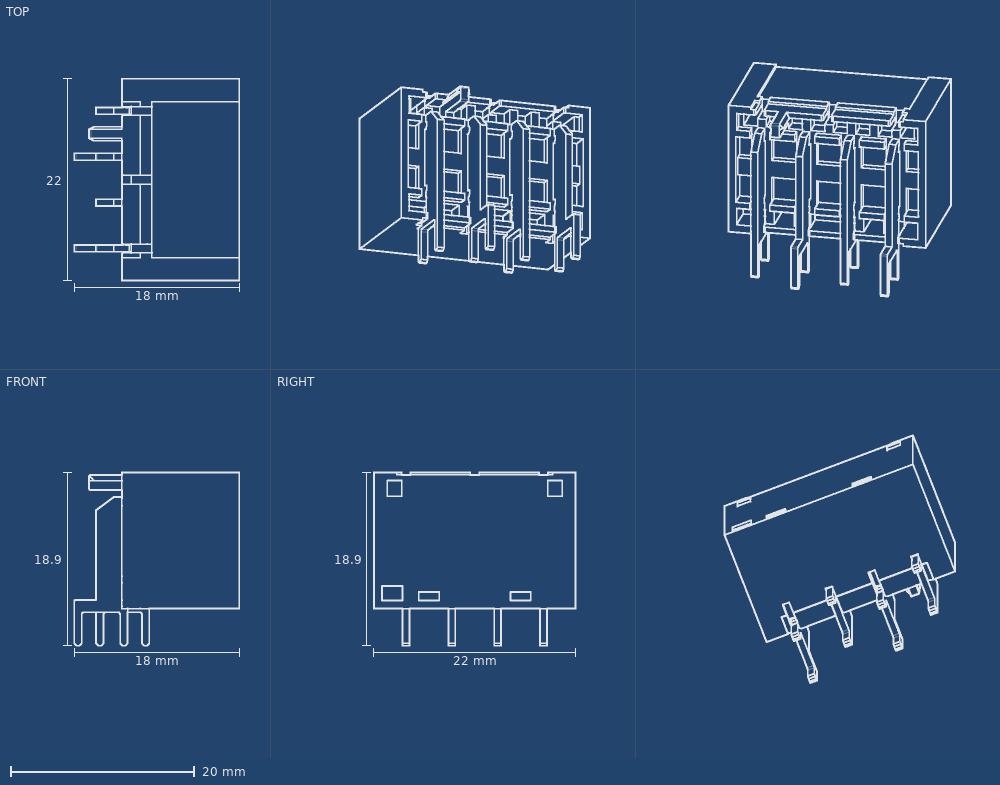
import cadquery as cq

HOUSING_LENGTH = 12.8
HOUSING_WIDTH = 22.0
HOUSING_HEIGHT = 14.85

STEP_HALF_WIDTH = 8.5
STEP_DEPTH = 0.26
TAB_LENGTH = 2.0
BAND_END = 3.28

WALL = 0.9
CORE_FACE = 1.01
CAVITY_HALF_WIDTH = 10.1
CAVITY_TOP = HOUSING_HEIGHT - WALL
SIDE_RELIEF = 0.09

PIN_PITCH = 5.0
PIN_COUNT = 4
CELL_PITCH = PIN_PITCH / 2
POST_WIDTH = 0.95
CELL_WIDTH = CELL_PITCH - POST_WIDTH
CELL_FLOOR = 12.28
CELL_DEPTH = 1.75
CELL_COUNT = 8

SLOT_FLOOR = 13.13
MOUTH_WIDTH = 0.2
MOUTH_DEPTH = 0.1

BAR_TOP = 12.01
BAR_BOTTOM = 2.82
BAR_WIDTH = 2.77
UPPER_POCKET = (8.38, 11.22)
LOWER_POCKET = (3.55, 6.38)
POCKET_DEPTH = 0.92
CORNER_BAR_INNER = 8.6

OPENING_TOP = 2.46
WINDOW_TOP = 1.8
WINDOW_WIDTH = 2.2
CENTRE_OPENING_WIDTH = 4.11

KEY_Y = 2 * CELL_PITCH
KEY_TIP = -3.59
KEY_BOTTOM = 12.91
KEY_WING_BOTTOM = 13.93
KEY_WING_WIDTH = 1.56
KEY_TIP_TAPER = 0.55
KEY_TIP_RADIUS = 0.22

PIN_THICKNESS = 0.77
PIN_FRONT = -2.82
PIN_REAR = 0.8
HEEL_X = 0.6
HEEL_TOP = 3.12
HEEL_BOTTOM = 2.77
PIN_TOP = 12.19
SLOPE_START_Z = 10.74
SLOPE_END_X = -0.85
FOOT_TOP = 0.97
FOOT_BOTTOM = -0.4
LEG_WIDTH = 0.84
LEG_BOTTOM = -4.05
LEG_SPAN = 5.83
LONG_FOOT_FRONT = -5.2
TIP_CHAMFER = 0.26
CROTCH_RADIUS = 0.22
FOOT_CORNER_RADIUS = 0.15
SLOPE_CORNER_RADIUS = 0.22
BLADE_BOTTOM = 4.25
BLADE_TOP = 10.65
BLADE_END = BAND_END
RELIEF_RADIUS = 0.42
RELIEF_X = 0.85
BLADE_CLEARANCE = 0.07

PIN_YS = [(i - (PIN_COUNT - 1) / 2) * PIN_PITCH for i in range(PIN_COUNT)]
BLOCK_YS = [-PIN_PITCH, 0, PIN_PITCH]


def block(x, y, z):
    """Axis-aligned box between the (low, high) limits on each axis."""
    return (
        cq.Workplane("XY")
        .box(x[1] - x[0], y[1] - y[0], z[1] - z[0], centered=False)
        .translate((x[0], y[0], z[0]))
    )


def around(centre, width):
    """Low and high limits of a span given by its centre and width."""
    return (centre - width / 2, centre + width / 2)


def slot_cutter(y, width, z):
    """Slot from the front face to the end of the band, flared at its front corners."""
    half = width / 2
    return (
        cq.Workplane("XY", origin=(0, y, z[0]))
        .polyline([
            (0, -half - MOUTH_WIDTH),
            (MOUTH_DEPTH, -half),
            (BAND_END, -half),
            (BAND_END, half),
            (MOUTH_DEPTH, half),
            (0, half + MOUTH_WIDTH),
        ])
        .close()
        .extrude(z[1] - z[0])
    )


def make_shell():
    """Outer block with its stepped faces and the front cavity."""
    step_y = around(0, 2 * STEP_HALF_WIDTH)
    top_step = (HOUSING_HEIGHT - STEP_DEPTH, HOUSING_HEIGHT)
    side_y = around(0, 2 * (CAVITY_HALF_WIDTH + SIDE_RELIEF))
    shell = block((0, HOUSING_LENGTH), around(0, HOUSING_WIDTH), (0, HOUSING_HEIGHT))
    shell = shell.cut(block((0, TAB_LENGTH), step_y, top_step))
    shell = shell.cut(block((BAND_END, HOUSING_LENGTH), step_y, top_step))
    shell = shell.cut(block((0, TAB_LENGTH), step_y, (0, STEP_DEPTH)))
    shell = shell.cut(block((0, CORE_FACE), around(0, 2 * CAVITY_HALF_WIDTH), (WALL, CAVITY_TOP)))
    return shell.cut(block((0, CORE_FACE), side_y, (LOWER_POCKET[0], UPPER_POCKET[1])))


def add_bars_and_pockets(body):
    """Bars standing on the core face, with a pocket under each upper and over each lower bar."""
    corner_outer = CAVITY_HALF_WIDTH + SIDE_RELIEF
    spans = [around(y, BAR_WIDTH) for y in BLOCK_YS]
    spans += [(CORNER_BAR_INNER, corner_outer), (-corner_outer, -CORNER_BAR_INNER)]
    for span in spans:
        for bar_z in [(UPPER_POCKET[1], BAR_TOP), (BAR_BOTTOM, LOWER_POCKET[0])]:
            body = body.union(block((0, CORE_FACE), span, bar_z))
        for pocket_z in [UPPER_POCKET, LOWER_POCKET]:
            body = body.cut(block((CORE_FACE, CORE_FACE + POCKET_DEPTH), span, pocket_z))
    return body


def cut_cells(body):
    """Row of cells above the core; the two end cells run right through."""
    for i in range(CELL_COUNT):
        y = (i - (CELL_COUNT - 1) / 2) * CELL_PITCH
        is_end = i in (0, CELL_COUNT - 1)
        end_x = HOUSING_LENGTH if is_end else CORE_FACE + CELL_DEPTH
        body = body.cut(block((CORE_FACE, end_x), around(y, CELL_WIDTH), (CELL_FLOOR, CAVITY_TOP)))
    return body


def cut_lower_openings(body):
    """Openings under the core: two windows, a blind centre and left corner, a through right corner."""
    corner_inner = PIN_YS[-1] + PIN_THICKNESS / 2
    blind_x = (CORE_FACE, BAND_END)
    through_x = (CORE_FACE, HOUSING_LENGTH)
    opening_z = (WALL, OPENING_TOP)
    for y in (-PIN_PITCH, PIN_PITCH):
        body = body.cut(block(blind_x, around(y, WINDOW_WIDTH), opening_z))
        body = body.cut(block(through_x, around(y, WINDOW_WIDTH), (WALL, WINDOW_TOP)))
    body = body.cut(block(blind_x, around(0, CENTRE_OPENING_WIDTH), opening_z))
    body = body.cut(block(blind_x, (corner_inner, CAVITY_HALF_WIDTH), opening_z))
    return body.cut(block(through_x, (-CAVITY_HALF_WIDTH, -corner_inner), opening_z))


def cut_slots(body):
    """Slots in the top wall, foot slots in the bottom wall and blade slots in the core."""
    for y in (PIN_YS[0], 0, PIN_YS[-1]):
        body = body.cut(slot_cutter(y, POST_WIDTH, (SLOT_FLOOR, HOUSING_HEIGHT)))
    for y in PIN_YS:
        body = body.cut(slot_cutter(y, PIN_THICKNESS, (0, FOOT_TOP)))
        low, high = around(y, PIN_THICKNESS)
        body = body.cut(block((CORE_FACE, BAND_END), (low, high), (WALL, OPENING_TOP)))
        if 0 < y < PIN_PITCH:
            low -= BLADE_CLEARANCE
        if -PIN_PITCH < y < 0:
            high += BLADE_CLEARANCE
        body = body.cut(block((CORE_FACE, BLADE_END), (low, high), (BLADE_BOTTOM, BLADE_TOP)))
    return body


def make_key():
    """Locking key: a straight stem with two sloping wings that taper towards the tip."""
    top = HOUSING_HEIGHT - STEP_DEPTH
    wing_height = top - KEY_WING_BOTTOM
    stem = block((KEY_TIP, CORE_FACE), around(KEY_Y, POST_WIDTH), (KEY_BOTTOM, top))
    wings = (
        cq.Workplane("YZ", origin=(KEY_TIP, KEY_Y, 0))
        .polyline([
            (-KEY_WING_WIDTH / 2, KEY_WING_BOTTOM),
            (KEY_WING_WIDTH / 2, KEY_WING_BOTTOM),
            (POST_WIDTH / 2, top),
            (-POST_WIDTH / 2, top),
        ])
        .close()
        .extrude(CORE_FACE - KEY_TIP)
    )
    plan = (
        cq.Workplane("XY", origin=(KEY_TIP, KEY_Y, KEY_WING_BOTTOM))
        .polyline([
            (0, -POST_WIDTH / 2),
            (KEY_TIP_TAPER, -KEY_WING_WIDTH / 2),
            (CORE_FACE - KEY_TIP, -KEY_WING_WIDTH / 2),
            (CORE_FACE - KEY_TIP, KEY_WING_WIDTH / 2),
            (KEY_TIP_TAPER, KEY_WING_WIDTH / 2),
            (0, POST_WIDTH / 2),
        ])
        .close()
        .extrude(wing_height)
    )
    key = stem.union(wings.intersect(plan))
    return key.faces("<X").edges("|Y").fillet(KEY_TIP_RADIUS)


def make_housing():
    body = make_shell()
    body = add_bars_and_pockets(body)
    body = cut_cells(body)
    body = cut_lower_openings(body)
    body = cut_slots(body)
    return body.union(make_key())


def plate(outline, y):
    """Flat plate of pin thickness, centred on y, from an outline of (x, z) points."""
    return (
        cq.Workplane("XZ", origin=(0, y + PIN_THICKNESS / 2, 0))
        .polyline(outline)
        .close()
        .extrude(PIN_THICKNESS)
    )


def make_foot(y, foot_front):
    """Foot bar on two legs, with a rounded crotch and chamfered leg tips."""
    foot_rear = foot_front + LEG_SPAN
    span_y = around(y, PIN_THICKNESS)
    foot = block((foot_front, foot_rear), span_y, (LEG_BOTTOM, FOOT_TOP))
    crotch = (
        block((foot_front + LEG_WIDTH, foot_rear - LEG_WIDTH), span_y, (LEG_BOTTOM, FOOT_BOTTOM))
        .faces(">Z").edges("|Y").fillet(CROTCH_RADIUS)
    )
    return foot.cut(crotch).faces("<Z").edges("|Y").chamfer(TIP_CHAMFER)


def make_pin(y, foot_front):
    """Stamped pin: body with a sloped top corner, blade into the core, and a foot on two legs."""
    span_y = around(y, PIN_THICKNESS)
    pin = plate([
        (PIN_FRONT, FOOT_BOTTOM),
        (PIN_FRONT, SLOPE_START_Z),
        (SLOPE_END_X, PIN_TOP),
        (PIN_REAR, PIN_TOP),
        (PIN_REAR, HEEL_TOP),
        (HEEL_X, HEEL_BOTTOM),
        (HEEL_X, FOOT_BOTTOM),
    ], y)
    foot = make_foot(y, foot_front)
    if foot_front < PIN_FRONT:
        foot = foot.edges("|Y and <X and >Z").fillet(FOOT_CORNER_RADIUS)
        slope_start = cq.selectors.NearestToPointSelector((PIN_FRONT, y, SLOPE_START_Z))
        pin = pin.edges("|Y").edges(slope_start).fillet(SLOPE_CORNER_RADIUS)
    pin = pin.union(block((PIN_FRONT, BLADE_END), span_y, (BLADE_BOTTOM, BLADE_TOP)))
    for z in (BLADE_BOTTOM - RELIEF_RADIUS, BLADE_TOP + RELIEF_RADIUS):
        relief = (
            cq.Workplane("XZ", origin=(RELIEF_X, span_y[1], z))
            .circle(RELIEF_RADIUS)
            .extrude(PIN_THICKNESS)
        )
        pin = pin.cut(relief)
    return pin.union(foot)


housing = make_housing()

pins = [
    make_pin(y, LONG_FOOT_FRONT if i % 2 == 0 else PIN_FRONT)
    for i, y in enumerate(PIN_YS)
]

result = cq.Compound.makeCompound([housing.val(), *[pin.val() for pin in pins]])